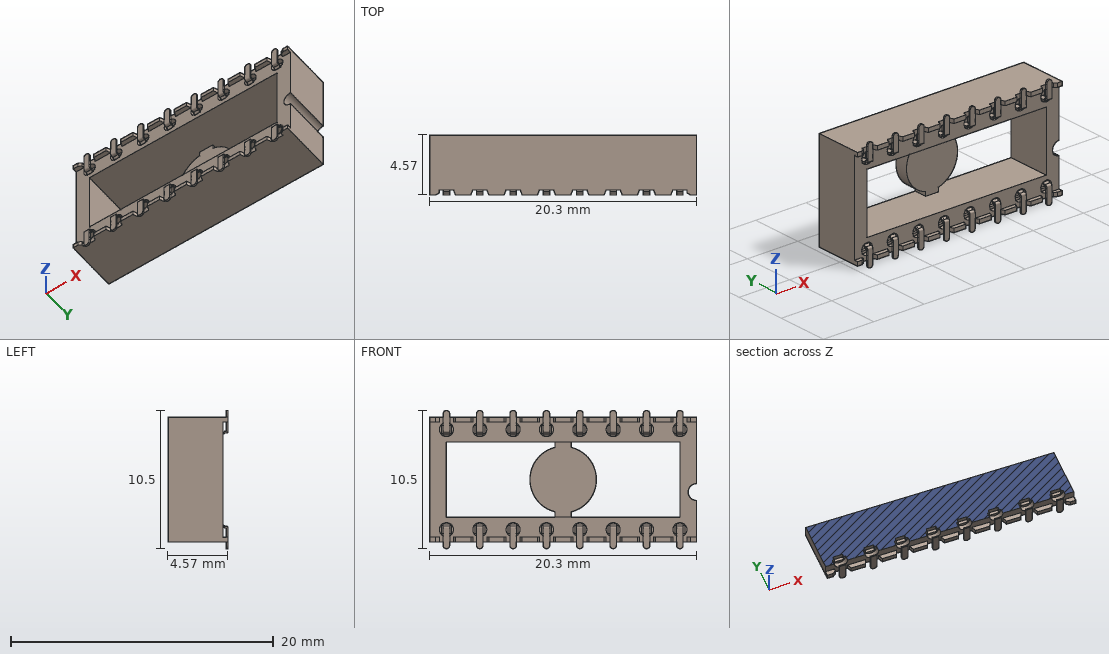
import cadquery as cq
pitch = 2.54
pins_per_row = 8
row_offset = 1.5 * pitch
length = pins_per_row * pitch
height = 9.53
depth = 4.57
overall_height = 10.54

lip_height = 0.38
lip_thickness = 0.38
end_wall = pitch / 2
rail = 1.91
window_length = length - 2 * end_wall
window_height = height - 2 * rail
notch_radius = 0.635
notch_offset = -0.95

gap_width = 1.07
gap_flare = 0.15
end_chamfer_length = 0.28
end_chamfer_height = 0.17

bore_diameter = 1.07
bore_depth = 0.42
pocket_width = 0.76
pocket_height = 0.61
pocket_depth = 0.25

pin_width = 0.51
pin_thickness = 0.15
pin_tip_radius = pin_width / 2
leg_outer = 3.69
leg_inner = leg_outer - pin_thickness
slant_start = 0.27
bend_radius = pin_thickness
slant = 0.16

disc_diameter = 2 * pitch
disc_thickness = 1.27
tab_width = 1.27

front_y = 0.0
face_y = front_y + lip_height
back_y = front_y + depth
bore_floor_y = face_y + bore_depth
pocket_floor_y = bore_floor_y + pocket_depth
pin_xs = [(i - (pins_per_row - 1) / 2) * pitch for i in range(pins_per_row)]
row_sides = (1, -1)


def box(x_size, y_start, y_end, z_size, x=0.0, z=0.0):
    """Box centred on x and z, running from y_start to y_end."""
    return (
        cq.Workplane("XY")
        .box(x_size, y_end - y_start, z_size)
        .translate((x, (y_start + y_end) / 2, z))
    )


def cylinder(radius, y_start, y_end, x=0.0, z=0.0):
    """Cylinder along Y, from y_start to y_end."""
    solid = cq.Solid.makeCylinder(radius, y_end - y_start, cq.Vector(x, y_start, z), cq.Vector(0, 1, 0))
    return cq.Workplane(obj=solid)


def extrude_lip(points, side):
    """Extrude an XY outline over the lip thickness, at the outer edge of one rail."""
    z_bottom = height / 2 - lip_thickness if side > 0 else -height / 2
    return cq.Workplane("XY").workplane(offset=z_bottom).polyline(points).close().extrude(lip_thickness)


def middle_lip(x, side):
    """Foot between two neighbouring pins, with sloping flanks."""
    half_base = (pitch - gap_width) / 2
    half_tip = half_base - gap_flare
    outline = [
        (x - half_base, face_y),
        (x - half_tip, front_y),
        (x + half_tip, front_y),
        (x + half_base, face_y),
    ]
    return extrude_lip(outline, side)


def end_lip(end, side):
    """Short foot at a corner, with its inner edge chamfered."""
    outer = length / 2
    inner = pin_xs[-1] + gap_width / 2
    outline = [
        (end * outer, face_y),
        (end * outer, front_y),
        (end * (inner + end_chamfer_length), front_y),
        (end * inner, front_y + end_chamfer_height),
        (end * inner, face_y),
    ]
    return extrude_lip(outline, side)


def socket(x, side):
    """Cutter for the bore and contact pocket around one pin."""
    z = side * row_offset
    bore = cylinder(bore_diameter / 2, face_y, bore_floor_y, x, z)
    pocket = box(pocket_width, bore_floor_y, pocket_floor_y, pocket_height, x, z)
    return bore.union(pocket)


def pin(x, side):
    """Bent strip: a flat foot at the front, a bend, then a leg slanting into its socket."""
    tip_z = overall_height / 2
    bend_z = leg_inner + bend_radius
    slant_y = front_y + slant_start
    strip = (
        cq.Workplane("YZ")
        .moveTo(front_y, tip_z)
        .lineTo(front_y, bend_z)
        .radiusArc((front_y + bend_radius, leg_inner), -bend_radius)
        .lineTo(slant_y, leg_inner)
        .lineTo(slant_y + slant, leg_inner - slant)
        .lineTo(pocket_floor_y, leg_inner - slant)
        .lineTo(pocket_floor_y, leg_outer - slant)
        .lineTo(slant_y + slant, leg_outer - slant)
        .lineTo(slant_y, leg_outer)
        .lineTo(front_y + pin_thickness, leg_outer)
        .lineTo(front_y + pin_thickness, tip_z)
        .close()
        .extrude(pin_width / 2, both=True)
    )
    shoulder_z = tip_z - pin_tip_radius
    silhouette = (
        cq.Workplane("XZ")
        .moveTo(-pin_width / 2, 0)
        .lineTo(-pin_width / 2, shoulder_z)
        .threePointArc((0, tip_z), (pin_width / 2, shoulder_z))
        .lineTo(pin_width / 2, 0)
        .close()
        .extrude(depth, both=True)
    )
    upper_pin = strip.intersect(silhouette)
    if side < 0:
        upper_pin = upper_pin.mirror("XY")
    return upper_pin.translate((x, 0, 0))


def build_housing():
    """Frame with feet, sockets, polarity notch and the pins fixed in it."""
    body = box(length, face_y, back_y, height)
    body = body.cut(box(window_length, face_y, back_y, window_height))
    for side in row_sides:
        for x in pin_xs[:-1]:
            body = body.union(middle_lip(x + pitch / 2, side))
        for end in (-1, 1):
            body = body.union(end_lip(end, side))
        for x in pin_xs:
            body = body.cut(socket(x, side)).union(pin(x, side))
    return body.cut(cylinder(notch_radius, face_y, back_y, length / 2, notch_offset))


def build_pickup_disc():
    """Round plate flush with the back, held between the rails by its tabs."""
    start_y = back_y - disc_thickness
    disc = cylinder(disc_diameter / 2, start_y, back_y)
    return disc.union(box(tab_width, start_y, back_y, window_height))


housing = build_housing()
pickup_disc = build_pickup_disc()
result = cq.Compound.makeCompound([housing.val(), pickup_disc.val()])